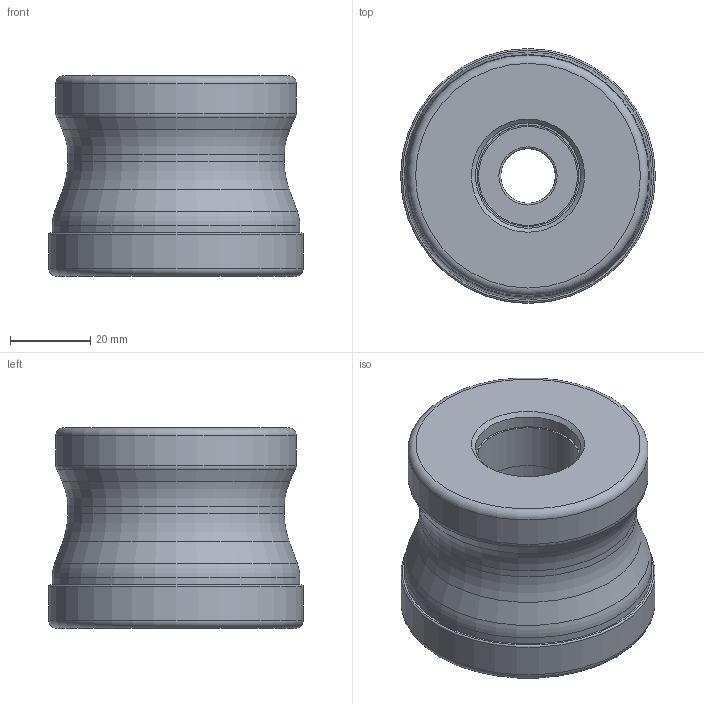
import cadquery as cq
import math

total_height = 50.0

base_radius = 31.75
base_height = 10.8
base_bottom_fillet = 2.0
base_top_fillet = 0.4

recess_floor_z = 8.0
recess_fillet = 0.75
hole_radius = 6.8
hole_fillet = 0.45

head_radius = 30.0
head_top_fillet = 2.0
neck_radius = 27.0
skirt_radius = 30.85
neck_bottom_z = 28.5
neck_top_z = 30.3

upper_flare_angle = 25.0
upper_neck_arc = 15.0
head_lower_arc = 2.5
lower_flare_angle = 20.0
lower_neck_arc = 20.0
skirt_arc = 10.0

bore_radius = 13.1
mouth_chamfer = 1.0
lip_radius = 12.65
lip_top_z = 46.0
lip_bottom_z = 34.5


def flare_points(rim_radius, neck_z, direction, angle, neck_arc, rim_arc):
    """Points (r, z) of an S-shaped flare, from the neck cylinder to the rim cylinder.

    A concave arc, a straight cone and a convex arc, tangent to each other and to both
    cylinders. The direction is +1 when the flare rises from the neck and -1 when it drops.
    """
    full = math.radians(angle)
    half = full / 2
    rise = rim_radius - neck_radius
    arcs_rise = (neck_arc + rim_arc) * (1 - math.cos(full))
    cone_height = (rise - arcs_rise) / math.tan(full)
    flare_height = (neck_arc + rim_arc) * math.sin(full) + cone_height
    rim_z = neck_z + direction * flare_height

    def on_neck_arc(turn):
        return (
            neck_radius + neck_arc * (1 - math.cos(turn)),
            neck_z + direction * neck_arc * math.sin(turn),
        )

    def on_rim_arc(turn):
        return (
            rim_radius - rim_arc * (1 - math.cos(turn)),
            rim_z - direction * rim_arc * math.sin(turn),
        )

    return [
        on_neck_arc(0),
        on_neck_arc(half),
        on_neck_arc(full),
        on_rim_arc(full),
        on_rim_arc(half),
        on_rim_arc(0),
    ]


def revolve_about_z(profile):
    """Turn an open (r, z) outline, once closed, a full turn about the Z axis."""
    return profile.close().revolve(360, (0, 0, 0), (0, 1, 0))


def make_base():
    """Round base with a shallow recess and a central through hole."""
    profile = (
        cq.Workplane("XZ")
        .moveTo(hole_radius, 0)
        .lineTo(base_radius - base_bottom_fillet, 0)
        .radiusArc((base_radius, base_bottom_fillet), -base_bottom_fillet)
        .lineTo(base_radius, base_height - base_top_fillet)
        .radiusArc((base_radius - base_top_fillet, base_height), -base_top_fillet)
        .lineTo(bore_radius, base_height)
        .lineTo(bore_radius, recess_floor_z + recess_fillet)
        .radiusArc((bore_radius - recess_fillet, recess_floor_z), recess_fillet)
        .lineTo(hole_radius + hole_fillet, recess_floor_z)
        .radiusArc((hole_radius, recess_floor_z - hole_fillet), -hole_fillet)
    )
    return revolve_about_z(profile)


def make_knob():
    """Waisted knob standing on the base, with a lipped bore along its axis."""
    lower = flare_points(
        skirt_radius, neck_bottom_z, -1, lower_flare_angle, lower_neck_arc, skirt_arc
    )
    upper = flare_points(
        head_radius, neck_top_z, 1, upper_flare_angle, upper_neck_arc, head_lower_arc
    )
    lower.reverse()

    profile = cq.Workplane("XZ").moveTo(bore_radius, base_height).lineTo(skirt_radius, base_height)
    for start, first_mid, first_end, second_start, second_mid, end in (lower, upper):
        profile = (
            profile.lineTo(*start)
            .threePointArc(first_mid, first_end)
            .lineTo(*second_start)
            .threePointArc(second_mid, end)
        )
    profile = (
        profile.lineTo(head_radius, total_height - head_top_fillet)
        .radiusArc((head_radius - head_top_fillet, total_height), -head_top_fillet)
        .lineTo(bore_radius + mouth_chamfer, total_height)
        .lineTo(bore_radius, total_height - mouth_chamfer)
        .lineTo(bore_radius, lip_top_z)
        .lineTo(lip_radius, lip_top_z)
        .lineTo(lip_radius, lip_bottom_z)
        .lineTo(bore_radius, lip_bottom_z)
    )
    return revolve_about_z(profile)


base = make_base()
knob = make_knob()

result = cq.Compound.makeCompound([base.val(), knob.val()])